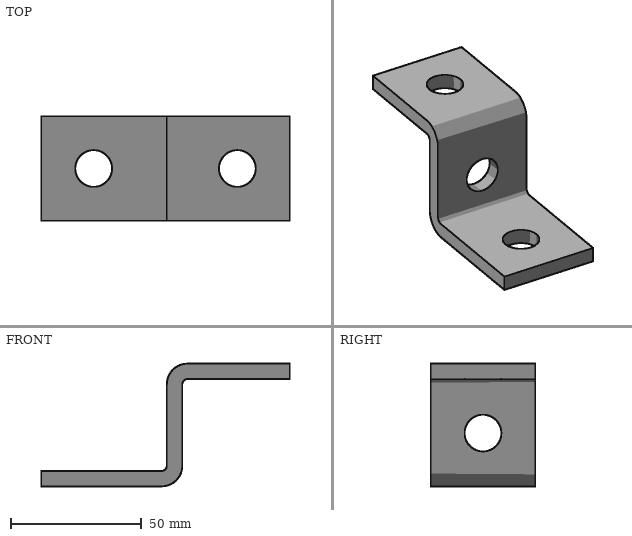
import cadquery as cq

length = 95.0
width = 40.0
height = 47.0
thickness = 6.0
inner_radius = 2.0
outer_radius = inner_radius + thickness
web_start = 48.0
hole_diameter = 14.0
hole_end_distance = 20.0
web_hole_height = 20.4

web_end = web_start + thickness


def z_strip():
    """Constant-thickness Z profile with rounded bends, centred on Y = 0."""
    outline = [
        (0, 0),
        (web_end, 0),
        (web_end, height - thickness),
        (length, height - thickness),
        (length, height),
        (web_start, height),
        (web_start, thickness),
        (0, thickness),
    ]
    strip = cq.Workplane("XZ").polyline(outline).close().extrude(width / 2, both=True)
    bends = (
        (web_end, 0, outer_radius),
        (web_start, thickness, inner_radius),
        (web_start, height, outer_radius),
        (web_end, height - thickness, inner_radius),
    )
    for x, z, radius in bends:
        corner = cq.selectors.NearestToPointSelector((x, 0, z))
        strip = strip.edges("|Y").edges(corner).fillet(radius)
    return strip


def flange_holes():
    """Vertical cutters, one through each flange."""
    centres = [(hole_end_distance, 0), (length - hole_end_distance, 0)]
    return cq.Workplane("XY").pushPoints(centres).circle(hole_diameter / 2).extrude(height)


def web_hole():
    """Horizontal cutter through the web."""
    plane = cq.Workplane("YZ", origin=(web_start, 0, web_hole_height))
    return plane.circle(hole_diameter / 2).extrude(thickness)


result = z_strip().cut(flange_holes()).cut(web_hole())